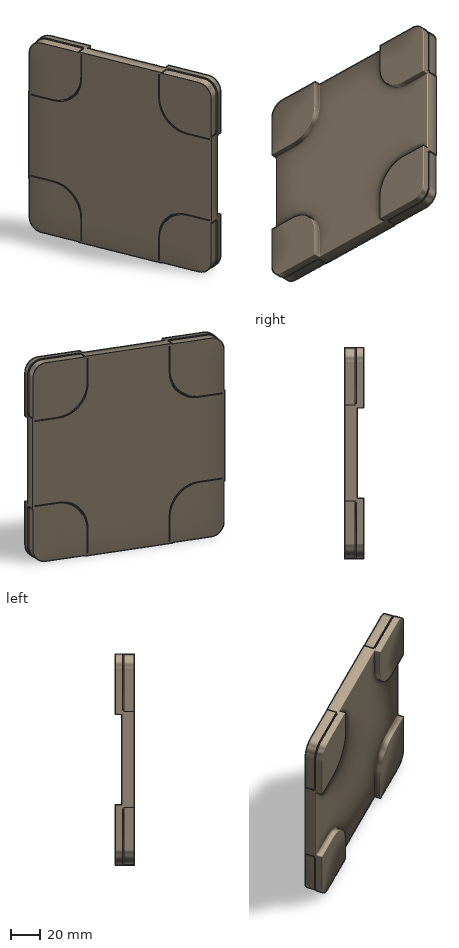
import cadquery as cq

side = 145.0
half = side / 2
plate_thickness = 8.7
corner_radius = 10.2

total_thickness = 13.0
pad_reach = 41.6
pad_inner_radius = 22.0
back_fillet = 0.5

groove_reach = 41.9
groove_outer_radius = pad_inner_radius
groove_inner_radius = 22.6
groove_width = 0.6
groove_depth = 2.9
groove_end_gap = 2.0

setback = 0.5
setback_depth = 7.0
setback_reach = pad_reach - groove_end_gap

slot_width = 1.0
slot_reach = 38.5
slot_inner_radius = 20.3


def corner_block(reach, inner_radius, y_start, y_end):
    """Block filling the +X +Z corner, rounded where it faces the plate centre."""
    center = half - reach / 2
    return (
        cq.Workplane("XZ", origin=(center, y_start, center))
        .rect(reach, reach)
        .extrude(y_start - y_end)
        .edges("|Y and <X and <Z")
        .fillet(inner_radius)
    )


def square_block(width, thickness):
    """Square block centred on the Y axis, starting at the front face."""
    return cq.Workplane("XZ").rect(width, width).extrude(-thickness)


def rounded_block(width, radius, thickness):
    """Square block with its four outer corners rounded."""
    return square_block(width, thickness).edges("|Y").fillet(radius)


def on_all_corners(shape):
    """The shape together with its mirror images in the other three corners."""
    pair = shape.union(shape.mirror("YZ"))
    return pair.union(pair.mirror("XY"))


def make_blank():
    """Plate with its four back pads, all edges of the stepped back filleted."""
    pads = on_all_corners(corner_block(pad_reach, pad_inner_radius, 0, total_thickness))
    blank = square_block(side, plate_thickness).union(pads)

    tolerance = 0.1
    back_edges = cq.selectors.BoxSelector(
        (-side, plate_thickness - tolerance, -side),
        (side, total_thickness + tolerance, side),
    )
    blank = blank.intersect(rounded_block(side, corner_radius, total_thickness))
    return blank.edges(back_edges).fillet(back_fillet)


def make_groove():
    """Front groove following the inner edge of one corner."""
    outer = corner_block(groove_reach, groove_outer_radius, 0, groove_depth)
    inner = corner_block(groove_reach - groove_width, groove_inner_radius, 0, groove_depth)
    limits = square_block(side - 2 * groove_end_gap, groove_depth)
    return outer.cut(inner).intersect(limits)


def make_setback():
    """Thin strip removed from the plate sides at the front of one corner."""
    core = rounded_block(side - 2 * setback, corner_radius - setback, setback_depth)
    return corner_block(setback_reach, pad_inner_radius, 0, setback_depth).cut(core)


def make_slot():
    """Thin slot reaching in from the plate sides over one corner."""
    return corner_block(slot_reach, slot_inner_radius, setback_depth, setback_depth + slot_width)


result = make_blank()
for cutter in (make_groove(), make_setback(), make_slot()):
    result = result.cut(on_all_corners(cutter))